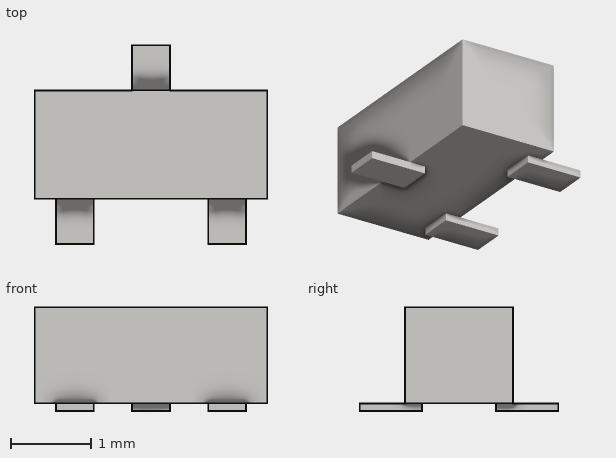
import cadquery as cq

body_length = 2.9
body_width = 1.35
body_height = 1.2

lead_span = 2.48
lead_length = 0.78
lead_width = 0.475
lead_thickness = 0.1
outer_lead_pitch = 1.9


def make_body():
    """Plain block standing on top of the leads."""
    return (
        cq.Workplane("XY")
        .workplane(offset=lead_thickness)
        .rect(body_length, body_width)
        .extrude(body_height)
    )


def make_lead(x, y):
    """Flat lead centred at (x, y), with its underside at Z = 0."""
    return cq.Workplane("XY").center(x, y).rect(lead_width, lead_length).extrude(lead_thickness)


lead_offset = (lead_span - lead_length) / 2
lead_centers = [
    (-outer_lead_pitch / 2, -lead_offset),
    (outer_lead_pitch / 2, -lead_offset),
    (0, lead_offset),
]

body = make_body()
leads = [make_lead(x, y) for x, y in lead_centers]

result = cq.Compound.makeCompound([body.val(), *[lead.val() for lead in leads]])